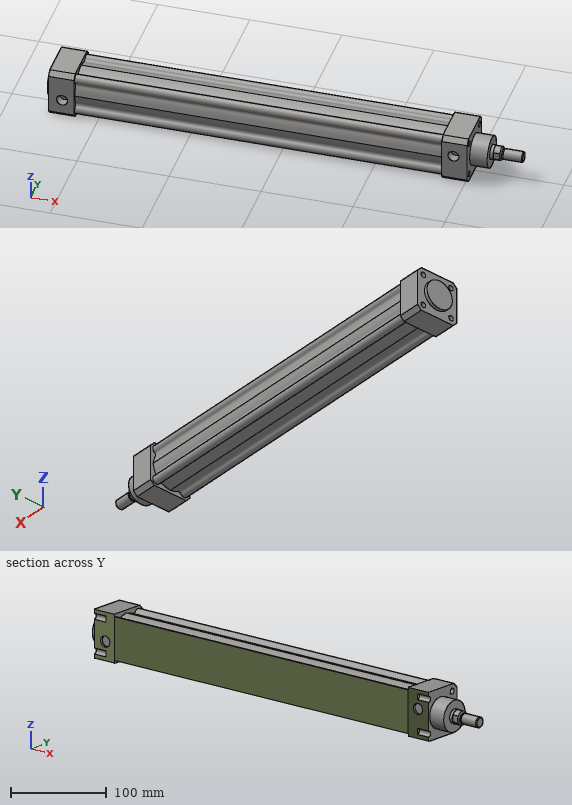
import cadquery as cq
import math


TOTAL_LENGTH = 513
REAR_BOSS_LENGTH = 4.0
CAP_LENGTH = 27.5
FRONT_BOSS_LENGTH = 19.0
ROD_PROJECTION = 54.0

REAR_CAP_FACE = REAR_BOSS_LENGTH
FRONT_CAP_FACE = TOTAL_LENGTH - ROD_PROJECTION
BARREL_START = REAR_CAP_FACE + CAP_LENGTH
BARREL_END = FRONT_CAP_FACE - CAP_LENGTH

CAP_SIDE = 54.0
CAP_CHAMFER = 5
BOSS_DIAMETER = 35.0
SCREW_OFFSET = 19.0
SCREW_HOLE_DIAMETER = 6.0
SCREW_HOLE_DEPTH = 15.5
PORT_DIAMETER = 12.0
PORT_DEPTH = 10.5
PORT_INSET = 15.0
PORT_HEIGHT = 5.5

TUBE_RADIUS = 23.0
LOBE_RADIUS = 5
LOBE_FILLET = 3.5
RIDGE_HALF_WIDTH = 5

ROD_DIAMETER = 16.0
ROD_END_DIAMETER = 15.5
ROD_END_LENGTH = 8.5
ROD_END_CHAMFER = 1.5
FLAT_LENGTH = ROD_END_LENGTH - ROD_END_CHAMFER
ACROSS_FLATS = 13.5
THREAD_DIAMETER = 12.0
THREAD_LENGTH = 22.5
THREAD_CHAMFER = 1.0
NECK_LENGTH = 1.5
NECK_DIAMETER = 11.5


def x_cylinder(start, length, diameter):
    """Cylinder on the X axis from x = start to x = start + length."""
    return cq.Workplane("YZ", origin=(start, 0, 0)).circle(diameter / 2).extrude(length)


def make_cap(outer_face, outward, boss_length, port_height):
    """Chamfered square cap with a round boss; outward is +1 or -1 along X."""
    plane = cq.Workplane("YZ", origin=(outer_face, 0, 0))
    cap = plane.rect(CAP_SIDE, CAP_SIDE).extrude(-outward * CAP_LENGTH)
    cap = cap.edges("|X").chamfer(CAP_CHAMFER)
    cap = cap.union(plane.circle(BOSS_DIAMETER / 2).extrude(outward * boss_length))

    screw_pitch = 2 * SCREW_OFFSET
    screw_holes = plane.rect(screw_pitch, screw_pitch, forConstruction=True).vertices()
    cap = cap.cut(screw_holes.circle(SCREW_HOLE_DIAMETER / 2).extrude(-outward * SCREW_HOLE_DEPTH))

    port_x = outer_face - outward * PORT_INSET
    port_plane = cq.Workplane("XZ", origin=(port_x, -CAP_SIDE / 2, port_height))
    return cap.cut(port_plane.circle(PORT_DIAMETER / 2).extrude(-PORT_DEPTH))


def make_rear_cap():
    return make_cap(REAR_CAP_FACE, -1, REAR_BOSS_LENGTH, -PORT_HEIGHT)


def make_front_cap():
    """Front cap, bored through for the piston rod."""
    cap = make_cap(FRONT_CAP_FACE, 1, FRONT_BOSS_LENGTH, PORT_HEIGHT)
    return cap.cut(x_cylinder(BARREL_END, CAP_LENGTH + FRONT_BOSS_LENGTH, ROD_DIAMETER))


def make_barrel():
    """Round barrel with a lobe in each corner and a shallow ridge along each side."""
    length = BARREL_END - BARREL_START
    plane = cq.Workplane("YZ", origin=(BARREL_START, 0, 0))
    lobe_pitch = 2 * SCREW_OFFSET
    barrel = plane.circle(TUBE_RADIUS).extrude(length)
    lobes = plane.rect(lobe_pitch, lobe_pitch, forConstruction=True).vertices()
    barrel = barrel.union(lobes.circle(LOBE_RADIUS).extrude(length))
    barrel = barrel.edges("|X").fillet(LOBE_FILLET)

    flank_height = math.sqrt(TUBE_RADIUS**2 - RIDGE_HALF_WIDTH**2)
    crest_height = TUBE_RADIUS**2 / flank_height
    ridge_outline = [
        (0, 0),
        (RIDGE_HALF_WIDTH, flank_height),
        (0, crest_height),
        (-RIDGE_HALF_WIDTH, flank_height),
    ]
    ridge = plane.polyline(ridge_outline).close().extrude(length)
    for side in range(4):
        barrel = barrel.union(ridge.rotate((0, 0, 0), (1, 0, 0), 90 * side))
    return barrel


def make_rod():
    """Piston rod with two wrench flats, a relief neck and a threaded end."""
    thread_root = TOTAL_LENGTH - THREAD_LENGTH
    end_start = thread_root - ROD_END_LENGTH
    shank = x_cylinder(BARREL_END, end_start - BARREL_END, ROD_DIAMETER)

    rod_end = x_cylinder(end_start, ROD_END_LENGTH, ROD_END_DIAMETER)
    rod_end = rod_end.faces(">X").chamfer(ROD_END_CHAMFER)
    flat_cut_depth = (ROD_END_DIAMETER - ACROSS_FLATS) / 2
    flat_cut = cq.Workplane("XY").box(FLAT_LENGTH, flat_cut_depth, ROD_END_DIAMETER)
    for side in (-1, 1):
        cut_y = side * (ACROSS_FLATS + flat_cut_depth) / 2
        rod_end = rod_end.cut(flat_cut.translate((end_start + FLAT_LENGTH / 2, cut_y, 0)))

    neck = x_cylinder(thread_root, NECK_LENGTH, NECK_DIAMETER)
    thread = x_cylinder(thread_root + NECK_LENGTH, THREAD_LENGTH - NECK_LENGTH, THREAD_DIAMETER)
    thread = thread.faces(">X").chamfer(THREAD_CHAMFER)
    return shank.union(rod_end).union(neck).union(thread)


rear_cap = make_rear_cap()
barrel = make_barrel()
front_cap = make_front_cap()
rod = make_rod()

result = cq.Compound.makeCompound([rear_cap.val(), barrel.val(), front_cap.val(), rod.val()])